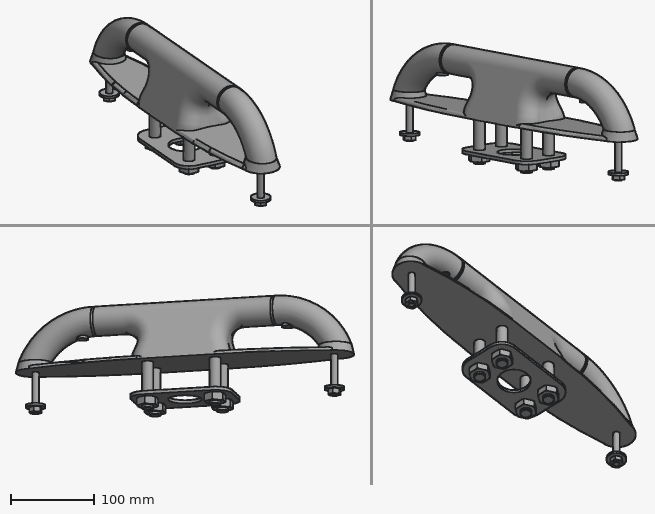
import cadquery as cq
import math

length = 418.0
width = 77.0
height_above_deck = 77.0

tube_diameter = 36.0
tube_radius = tube_diameter / 2
tube_axis_z = height_above_deck - tube_radius
bend_start_x = 113.0
bend_radius = 81.5
bend_center_z = tube_axis_z - bend_radius
joint_width = 3.0
joint_depth = 0.5
plug_x = 127.5
plug_diameter = 14.5
plug_bottom_z = 37.5

collar_radius = 22.5
collar_height = 11.5
collar_x = length / 2 - collar_radius

base_thickness = 5.0
base_half_width = 38.0
base_straight_x = 50.0
base_end_x = 188.0
base_end_half_width = 22.0
base_edge_radius = 4.5

leg_bend_start_x = 71.5
leg_bend_radius = 34.0
leg_x = leg_bend_start_x - leg_bend_radius
leg_length = 83.5
kick_start = 35.5
kick_arc_drop = 11.0
kick_angle = math.radians(18)
kick_radius = kick_arc_drop / math.sin(kick_angle)
kick_end = 57.3
kick_line_drop = kick_end - kick_start - kick_arc_drop
kick_offset = kick_radius * (1 - math.cos(kick_angle)) + kick_line_drop * math.tan(kick_angle)
foot_x = leg_x + kick_offset

stud_diameter = 14.0
stud_x = 42.0
stud_y = 18.0
stud_bottom_z = -57.3
clamp_top_z = -40.0
clamp_thickness = 4.0
clamp_length = 125.5
clamp_corner_radius = 20.5
clamp_hole_diameter = 40.0
nut_flats = 23.0
nut_height = 9.5

bolt_diameter = 8.5
bolt_x = 185.0
bolt_bottom_z = -50.5
washer_diameter = 24.0
washer_thickness = 3.0
bolt_nut_flats = 14.0
bolt_nut_height = 6.3
thread_chamfer = 0.5
nut_chamfer_ratio = 0.04

axis_to_edge = math.hypot(width / 2, tube_axis_z)
splay = math.acos(tube_radius / axis_to_edge) - math.atan2(tube_axis_z, width / 2)


def rail():
    """Bent tube with narrow joint grooves between its straight run and end bends."""
    bend_drop = bend_radius * math.sqrt(0.5)
    path = (
        cq.Workplane("XZ")
        .moveTo(-bend_start_x - bend_radius, bend_center_z)
        .threePointArc((-bend_start_x - bend_drop, bend_center_z + bend_drop), (-bend_start_x, tube_axis_z))
        .lineTo(bend_start_x, tube_axis_z)
        .threePointArc(
            (bend_start_x + bend_drop, bend_center_z + bend_drop),
            (bend_start_x + bend_radius, bend_center_z),
        )
    )
    tube = cq.Workplane("XY", origin=(-bend_start_x - bend_radius, 0, bend_center_z))
    tube = tube.circle(tube_radius).sweep(path)
    for side in (-1, 1):
        joint_x = side * (bend_start_x - joint_width / 2)
        groove = cq.Workplane("YZ", origin=(joint_x, 0, tube_axis_z))
        groove = groove.circle(tube_diameter).circle(tube_radius - joint_depth)
        tube = tube.cut(groove.extrude(joint_width / 2, both=True))
    above_collars = cq.Workplane("XY", origin=(0, 0, collar_height)).rect(2 * length, width)
    return tube.intersect(above_collars.extrude(height_above_deck))


def collars():
    """Flared foot at each tube end, from a round base to the tube's oblique section."""
    outer_x = math.sqrt((bend_radius + tube_radius) ** 2 - (collar_height - bend_center_z) ** 2)
    inner_x = math.sqrt((bend_radius - tube_radius) ** 2 - (collar_height - bend_center_z) ** 2)
    shift = bend_start_x + (outer_x + inner_x) / 2 - collar_x
    both = cq.Workplane("XY")
    for side in (-1, 1):
        foot = cq.Workplane("XY", origin=(side * collar_x, 0, 0))
        foot = foot.ellipse(collar_radius, collar_radius).workplane(offset=collar_height)
        foot = foot.center(side * shift, 0).ellipse((outer_x - inner_x) / 2, tube_radius)
        both = both.union(foot.loft())
    return both


def plugs():
    """Small round plug let into the underside of each bend."""
    both = cq.Workplane("XY")
    for x in (-plug_x, plug_x):
        plug = cq.Workplane("XY", origin=(x, 0, plug_bottom_z)).circle(plug_diameter / 2)
        both = both.union(plug.extrude(tube_radius))
    return both


def base_plate():
    """Thin plate with bowed sides and a rounded upper edge."""
    quarter = cq.Workplane("XY").lineTo(0, base_half_width).lineTo(base_straight_x, base_half_width)
    quarter = quarter.tangentArcPoint((base_end_x, base_end_half_width), relative=False)
    quarter = quarter.lineTo(base_end_x, 0).close().extrude(base_thickness)
    half = quarter.union(quarter.mirror("YZ"))
    plate = half.union(half.mirror("XZ")).clean()
    top_edges = plate.faces(">Z").edges("not(|Y)")
    return top_edges.fillet(base_edge_radius)


def splayed_plane():
    """Sloping plane through the tube axis: local x along the tube, local y down the slope."""
    normal = (0, math.cos(splay), math.sin(splay))
    return cq.Plane(origin=(0, 0, tube_axis_z), xDir=(1, 0, 0), normal=normal)


def leg_line(outset=0.0):
    """Line along a leg, `outset` away from its centre line: bend, straight run and kick."""
    inner_bend = leg_bend_radius - outset
    inner_kick = kick_radius - outset

    def on_bend(angle):
        x = leg_bend_start_x - inner_bend * math.sin(angle)
        return (x, leg_bend_radius - inner_bend * math.cos(angle))

    def on_kick(angle):
        x = leg_x + kick_radius - inner_kick * math.cos(angle)
        return (x, kick_start + inner_kick * math.sin(angle))

    return (
        cq.Workplane(splayed_plane())
        .moveTo(*on_bend(0))
        .threePointArc(on_bend(math.pi / 4), on_bend(math.pi / 2))
        .lineTo(*on_kick(0))
        .threePointArc(on_kick(kick_angle / 2), on_kick(kick_angle))
        .lineTo(foot_x + outset, kick_end)
    )


def leg():
    """Bent round leg with a straight foot joined by a ball."""
    section = cq.Workplane("YZ", origin=(leg_bend_start_x, 0, tube_axis_z)).circle(tube_radius)
    bent = section.sweep(leg_line())
    plane = splayed_plane()
    ankle = plane.toWorldCoords((foot_x, kick_end))
    foot = cq.Workplane(cq.Plane(origin=ankle, xDir=plane.xDir, normal=plane.yDir))
    foot = foot.circle(tube_radius).extrude(leg_length - kick_end)
    ball = cq.Workplane("XY", origin=ankle.toTuple()).sphere(tube_radius)
    return bent.union(ball).union(foot)


def panel(outset, thickness):
    """Slab on the splayed plane, from the middle of the part to `outset` beyond the leg line."""
    outline = leg_line(outset).lineTo(foot_x + outset, leg_length)
    return outline.lineTo(0, leg_length).lineTo(0, 0).close().extrude(thickness)


def pedestal():
    """Four legs, the flat side panels and the core behind them, ending at the deck."""
    quarter = leg().union(panel(0, tube_radius)).union(panel(tube_radius, -width / 2))
    corner = cq.Workplane("XY").box(length, width, height_above_deck, centered=False)
    quarter = quarter.intersect(corner)
    half = quarter.union(quarter.mirror("YZ"))
    return half.union(half.mirror("XZ"))


def fastener(x, y, diameter, bottom_z, flats, nut_top_z, nut_height):
    """Threaded rod reaching into the base, with a hexagonal nut near its lower end."""
    rod = cq.Workplane("XY", origin=(x, y, bottom_z)).circle(diameter / 2)
    rod = rod.extrude(base_thickness - bottom_z).faces("<Z").chamfer(thread_chamfer)
    corner_diameter = flats / math.cos(math.pi / 6)
    nut = cq.Workplane("XY", origin=(x, y, nut_top_z)).transformed(rotate=(0, 0, 90))
    nut = nut.polygon(6, corner_diameter).extrude(-nut_height)
    turned = cq.Workplane("XY", origin=(x, y, nut_top_z)).circle(corner_diameter / 2)
    turned = turned.extrude(-nut_height).edges().chamfer(nut_chamfer_ratio * flats)
    return rod.union(nut.intersect(turned))


def clamp():
    """Clamp plate with a central hole, held by four studs."""
    plate = cq.Workplane("XY", origin=(0, 0, clamp_top_z)).rect(clamp_length, width)
    plate = plate.extrude(-clamp_thickness).edges("|Z").fillet(clamp_corner_radius)
    plate = plate.faces(">Z").workplane().hole(clamp_hole_diameter)
    nut_top_z = clamp_top_z - clamp_thickness
    for x in (-stud_x, stud_x):
        for y in (-stud_y, stud_y):
            stud = fastener(x, y, stud_diameter, stud_bottom_z, nut_flats, nut_top_z, nut_height)
            plate = plate.union(stud)
    return plate


def end_bolts():
    """One thin bolt with washer and nut below each collar."""
    bolts = cq.Workplane("XY")
    nut_top_z = clamp_top_z - washer_thickness
    for x in (-bolt_x, bolt_x):
        bolt = fastener(x, 0, bolt_diameter, bolt_bottom_z, bolt_nut_flats, nut_top_z, bolt_nut_height)
        washer = cq.Workplane("XY", origin=(x, 0, clamp_top_z)).circle(washer_diameter / 2)
        bolts = bolts.union(bolt).union(washer.extrude(-washer_thickness))
    return bolts


result = base_plate().union(collars()).union(rail()).union(plugs()).union(pedestal())
result = result.union(clamp()).union(end_bolts())